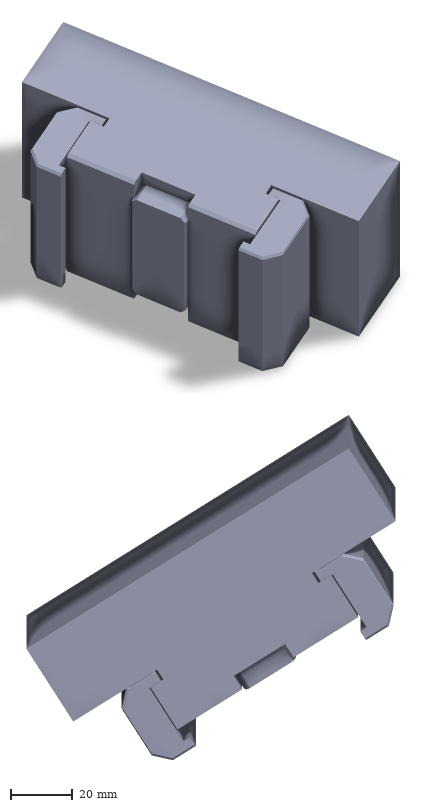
import cadquery as cq

width = 125.0
height = 60.0
depth = 57.2
block_depth = 28.8

rail_front = 49.2
neck_half_width = 30.0
rail_half_width = 35.0
slot_width = 4.0
rail_bevel_depth = 1.4
rail_bevel_height = 0.8

jaw_half_span = 46.9
jaw_wall_inner = 35.5
jaw_hook_inner = 31.0
jaw_lip_inner = 33.0
jaw_lip_thickness = 3.5
jaw_corner = 5.0
jaw_end_gap = 0.4
jaw_bevel_height = 0.8
jaw_bevel_side = 0.4
jaw_bevel_face = 0.8

key_width = 20.0
key_height = 49.0
key_front = 51.1
recess_floor = 44.0
key_corner = 1.9
key_edge_bevel = 0.5

back_y = depth / 2
front_y = -depth / 2
block_y = back_y - block_depth
head_y = block_y - slot_width
rail_y = back_y - rail_front
half_height = height / 2


def box_between(x0, x1, y0, y1, z0, z1):
    """Axis-aligned box given by its limits."""
    return cq.Workplane("XY").box(x1 - x0, y1 - y0, z1 - z0, centered=False).translate((x0, y0, z0))


def make_block():
    return box_between(-width / 2, width / 2, block_y, back_y, -half_height, half_height)


def make_rail():
    """T-shaped rail with a bevel along the upper front edge."""
    neck = box_between(-neck_half_width, neck_half_width, head_y, block_y, -half_height, half_height)
    head = (
        cq.Workplane("YZ", origin=(-rail_half_width, 0, 0))
        .moveTo(head_y, -half_height)
        .lineTo(head_y, half_height)
        .lineTo(rail_y + rail_bevel_depth, half_height)
        .lineTo(rail_y, half_height - rail_bevel_height)
        .lineTo(rail_y, -half_height)
        .close()
        .extrude(2 * rail_half_width)
    )
    return neck.union(head)


def jaw_outline(side_inset, face_inset):
    """Hook-shaped jaw profile, with its outer faces moved inwards by the insets."""
    outer = jaw_half_span - side_inset
    back = block_y - face_inset
    front = front_y + face_inset
    lip_y = front_y + jaw_lip_thickness
    return [
        (jaw_hook_inner, back),
        (outer - jaw_corner, back),
        (outer, back - jaw_corner),
        (outer, front + jaw_corner),
        (outer - jaw_corner, front),
        (jaw_lip_inner, front),
        (jaw_lip_inner, lip_y),
        (jaw_wall_inner, lip_y),
        (jaw_wall_inner, head_y),
        (jaw_hook_inner, head_y),
    ]


def make_jaw():
    """Right-hand jaw with bevelled outer edges at both ends."""
    full = jaw_outline(0, 0)
    reduced = jaw_outline(jaw_bevel_side, jaw_bevel_face)
    bevel_z = half_height - jaw_end_gap - jaw_bevel_height
    jaw = cq.Workplane("XY", origin=(0, 0, -bevel_z)).polyline(full).close().extrude(2 * bevel_z)
    cap = (
        cq.Workplane("XY", origin=(0, 0, bevel_z))
        .polyline(full)
        .close()
        .workplane(offset=jaw_bevel_height)
        .polyline(reduced)
        .close()
        .loft(ruled=True)
    )
    return jaw.union(cap).union(cap.mirror("XY"))


def make_recess():
    return box_between(
        -key_width / 2, key_width / 2, rail_y, back_y - recess_floor, -half_height, half_height
    )


def make_key():
    """Key with cut corners and bevelled long front edges."""
    key_y = back_y - key_front
    key = box_between(
        -key_width / 2, key_width / 2, key_y, back_y - recess_floor, -key_height / 2, key_height / 2
    )
    key = key.edges("|Y").chamfer(key_corner)
    return key.faces("<Y").edges("|Z").chamfer(key_edge_bevel)


jaw = make_jaw()
result = make_block().union(make_rail()).cut(make_recess()).union(make_key())
result = result.union(jaw).union(jaw.mirror("YZ"))